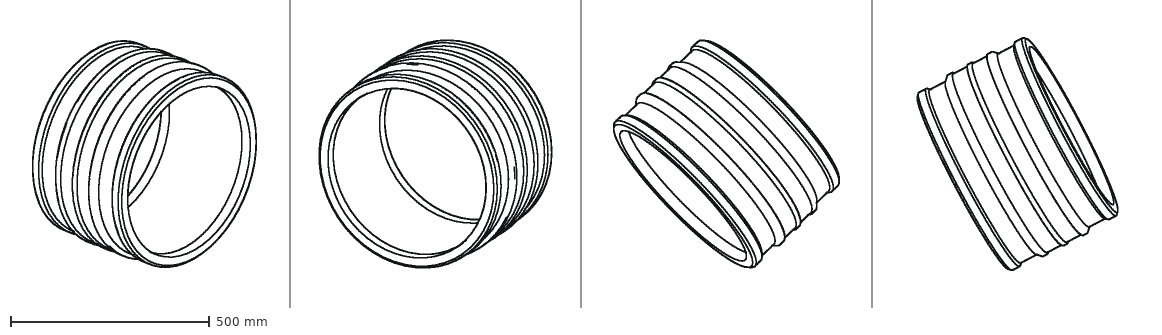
import cadquery as cq
import math

length = 310.0
bore_radius = 450.0 / 2
neck_radius = 494.5 / 2
collar_radius = 507.5 / 2
band_radius = 510.0 / 2
rib_radius = 518.0 / 2

collar_width = 33.5
rib_width = 13.5
rib_pitch = 56.5
rib_rim_fillet = 4.0 / 2

mouth_depth = 29.0
relief_corner_radius = 10.0 / 2
relief_depth = 1.3

half_length = length / 2
half_rib = rib_width / 2
collar_chamfer = collar_radius - neck_radius
collar_inner_end = half_length - collar_width
outer_rib_end = rib_pitch + half_rib
shoulder_end = outer_rib_end + rib_radius - neck_radius


def make_body():
    """Outside shape with sharp rib rims: ribs, bands, shoulders, necks and collars."""
    right_side = [
        (half_rib, rib_radius),
        (half_rib, band_radius),
        (rib_pitch - half_rib, band_radius),
        (rib_pitch - half_rib, rib_radius),
        (outer_rib_end, rib_radius),
        (shoulder_end, neck_radius),
        (collar_inner_end, neck_radius),
        (collar_inner_end + collar_chamfer, collar_radius),
        (half_length - collar_chamfer, collar_radius),
        (half_length, neck_radius),
    ]
    left_side = [(-x, radius) for x, radius in reversed(right_side)]
    outline = [(-half_length, 0)] + left_side + right_side + [(half_length, 0)]
    return cq.Workplane("XY").polyline(outline).close().revolve(360, (0, 0, 0), (1, 0, 0))


def make_bore():
    """Bore with a slightly wider middle whose rounded ends run out at the mouths."""
    middle_radius = bore_radius + relief_depth
    arc_start = half_length - mouth_depth
    arc_center_radius = middle_radius - relief_corner_radius
    arc_length = math.sqrt(relief_corner_radius**2 - (bore_radius - arc_center_radius)**2)
    arc_end = arc_start - arc_length
    half_angle = math.atan2(arc_length, bore_radius - arc_center_radius) / 2
    arc_middle_x = arc_end + relief_corner_radius * math.sin(half_angle)
    arc_middle_radius = arc_center_radius + relief_corner_radius * math.cos(half_angle)
    outline = (
        cq.Workplane("XY")
        .moveTo(-half_length, 0)
        .lineTo(-half_length, bore_radius)
        .lineTo(-arc_start, bore_radius)
        .threePointArc((-arc_middle_x, arc_middle_radius), (-arc_end, middle_radius))
        .lineTo(arc_end, middle_radius)
        .threePointArc((arc_middle_x, arc_middle_radius), (arc_start, bore_radius))
        .lineTo(half_length, bore_radius)
        .lineTo(half_length, 0)
        .close()
    )
    return outline.revolve(360, (0, 0, 0), (1, 0, 0))


def fillet_rims(body):
    """Round every circular rim of the ribs."""
    tolerance = 0.05

    def is_rim(edge):
        return edge.geomType() == "CIRCLE" and abs(edge.radius() - rib_radius) < tolerance

    rims = [edge for edge in body.edges().vals() if is_rim(edge)]
    return body.newObject(rims).fillet(rib_rim_fillet)


result = fillet_rims(make_body()).cut(make_bore())